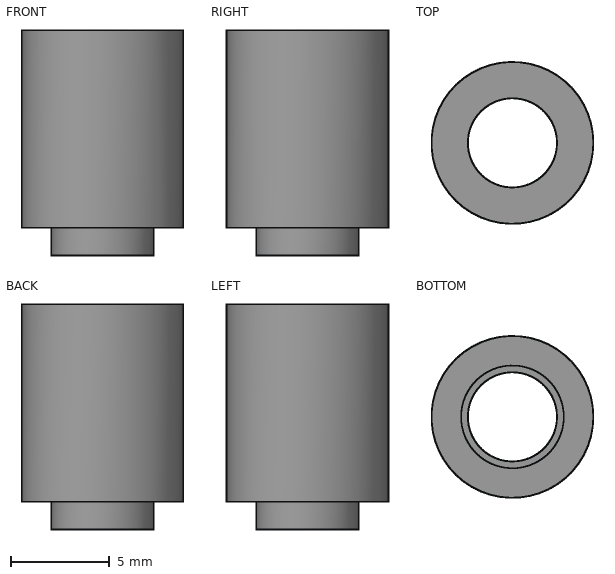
import cadquery as cq

body_diameter = 8.2
body_height = 10.0
spigot_diameter = 5.2
spigot_height = 1.4
bore_diameter = 4.5

total_height = body_height + spigot_height


def cylinder(diameter, height, base_z):
    """Upright cylinder on the Z axis, standing on the plane z = base_z."""
    return cq.Workplane("XY").workplane(offset=base_z).circle(diameter / 2).extrude(height)


body = cylinder(body_diameter, body_height, 0)
spigot = cylinder(spigot_diameter, spigot_height, -spigot_height)

bore = cylinder(bore_diameter, total_height, -spigot_height)

result = body.union(spigot).cut(bore)